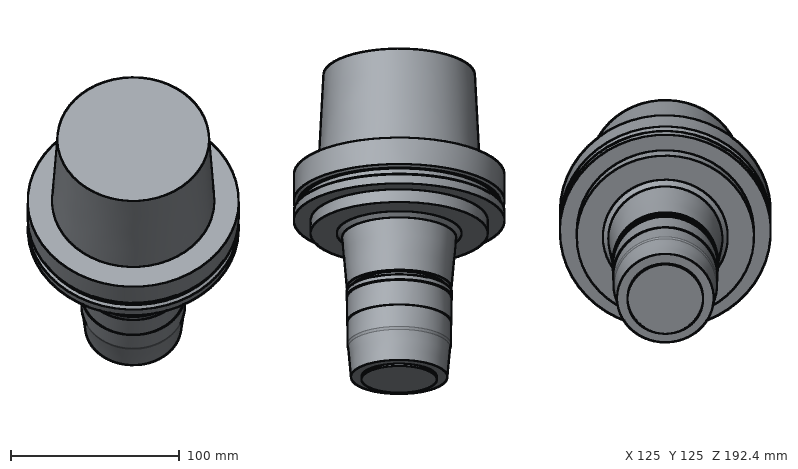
import cadquery as cq
import math


plug_height = 63.0
plug_base_diameter = 96.2
plug_top_diameter = 89.9

flange_diameter = 125.0
flange_bottom = -29.0
rim_groove_step_diameter = 120.3
rim_groove_diameter = 117.0
rim_groove_top = -16.7
rim_groove_bottom = -23.3
rim_groove_wall_angle = 30.0

shoulder_diameter = 105.0
shoulder_bottom = -37.0

steep_cone_top_diameter = 74.0
neck_top_diameter = 67.6
neck_top = -39.7
neck_bottom_diameter = 62.0
neck_bottom = -71.7

ring_groove_diameter = 56.0
ring_groove_chamfer_diameter = 58.0
ring_groove_chamfer_height = 1.0
collar_diameter = 62.7
collar_top = -74.7
collar_bottom = -78.2
collar_chamfer = 0.35

guide_diameter = 62.0
guide_bottom = -93.7
lower_guide_diameter = 61.5
lower_guide_bottom = -107.5

lead_cone_top_diameter = 60.5
lead_cone_top = -109.2
end_cone_bottom_diameter = 57.2
end_cone_bottom = -127.9
boss_diameter = 44.77
part_bottom = -129.4


def revolve_profile(points):
    """Solid of revolution about Z from (diameter, height) pairs listed top to bottom."""
    top_height = points[0][1]
    bottom_height = points[-1][1]
    surface = [(diameter / 2, height) for diameter, height in points]
    outline = [(0, top_height)] + surface + [(0, bottom_height)]
    return cq.Workplane("YZ").polyline(outline).close().revolve(360, (0, 0), (0, 1))


plug = [
    (plug_top_diameter, plug_height),
    (plug_base_diameter, 0),
]

rim_groove_wall_depth = (flange_diameter - rim_groove_step_diameter) / 2
rim_groove_wall_height = rim_groove_wall_depth * math.tan(math.radians(rim_groove_wall_angle))
flange = [
    (flange_diameter, 0),
    (flange_diameter, rim_groove_top),
    (rim_groove_step_diameter, rim_groove_top - rim_groove_wall_height),
    (rim_groove_diameter, rim_groove_top - rim_groove_wall_height),
    (rim_groove_diameter, rim_groove_bottom + rim_groove_wall_height),
    (rim_groove_step_diameter, rim_groove_bottom + rim_groove_wall_height),
    (flange_diameter, rim_groove_bottom),
    (flange_diameter, flange_bottom),
]

shoulder = [
    (shoulder_diameter, flange_bottom),
    (shoulder_diameter, shoulder_bottom),
]

neck = [
    (steep_cone_top_diameter, shoulder_bottom),
    (neck_top_diameter, neck_top),
    (neck_bottom_diameter, neck_bottom),
]

collar = [
    (ring_groove_diameter, neck_bottom),
    (ring_groove_diameter, collar_top + ring_groove_chamfer_height),
    (ring_groove_chamfer_diameter, collar_top),
    (collar_diameter, collar_top),
    (collar_diameter, collar_bottom + collar_chamfer),
    (guide_diameter, collar_bottom),
]

guide = [
    (guide_diameter, guide_bottom),
    (lower_guide_diameter, guide_bottom),
    (lower_guide_diameter, lower_guide_bottom),
]

end = [
    (lead_cone_top_diameter, lead_cone_top),
    (end_cone_bottom_diameter, end_cone_bottom),
    (boss_diameter, end_cone_bottom),
    (boss_diameter, part_bottom),
]

result = revolve_profile(plug + flange + shoulder + neck + collar + guide + end)